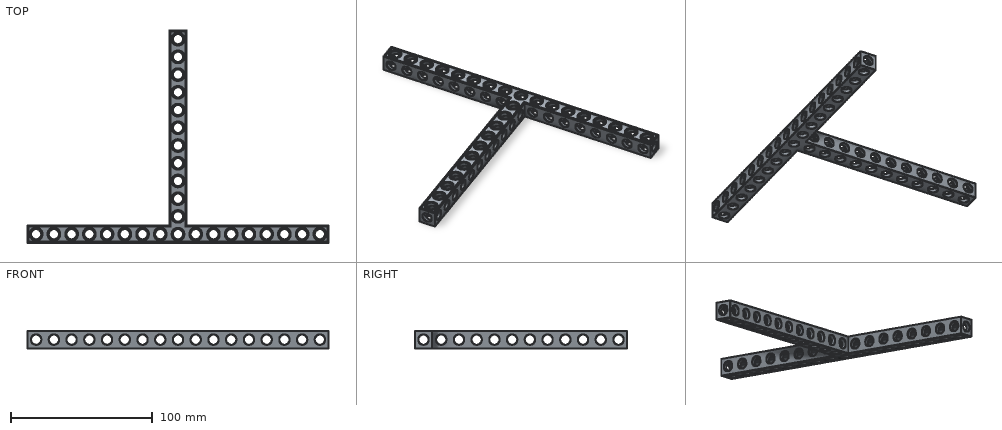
import cadquery as cq

PITCH = 12.5
CROSS_HOLES = 17
STEM_HOLES = 11

HOLE_DIAMETER = 7.0
CHAMFER = 0.3

RECESS_DEPTH = 0.2
RIM_WIDTH = 1.1
RING_DIAMETER = HOLE_DIAMETER + 2 * RIM_WIDTH

half_width = PITCH / 2
half_cross = CROSS_HOLES * PITCH / 2
stem_end = half_width + STEM_HOLES * PITCH

cross_positions = [(i - (CROSS_HOLES - 1) / 2) * PITCH for i in range(CROSS_HOLES)]
stem_positions = [(i + 1) * PITCH for i in range(STEM_HOLES)]
vertical_centers = [(x, 0) for x in cross_positions] + [(0, y) for y in stem_positions]


def cross_bar(inset, bottom, height):
    """Block along X whose sides lie `inset` inside the cross bar."""
    length = 2 * (half_cross - inset)
    width = PITCH - 2 * inset
    return cq.Workplane("XY", origin=(0, 0, bottom)).rect(length, width).extrude(height)


def stem_bar(inset, bottom, height):
    """Block along Y, from the middle of the cross bar to `inset` inside the end of the stem."""
    length = stem_end - inset
    width = PITCH - 2 * inset
    return cq.Workplane("XY", origin=(0, length / 2, bottom)).rect(width, length).extrude(height)


def beam_body():
    """Both bars with chamfered outer edges; the inner corners between them stay sharp."""
    cross = cross_bar(0, -half_width, PITCH).edges().chamfer(CHAMFER)
    stem = stem_bar(0, -half_width, PITCH).edges().chamfer(CHAMFER)
    return cross.union(stem).clean()


def through_hole(start, direction, length):
    """Cutter for a round hole of the given length with a chamfer at both mouths."""
    radius = HOLE_DIAMETER / 2
    mouth_radius = radius + CHAMFER
    profile = [
        (0, 0),
        (mouth_radius, 0),
        (radius, CHAMFER),
        (radius, length - CHAMFER),
        (mouth_radius, length),
        (0, length),
    ]
    sideways = cq.Vector(direction[1], direction[2], direction[0])
    plane = cq.Plane(origin=start, xDir=sideways, normal=sideways.cross(cq.Vector(*direction)))
    return cq.Workplane(plane).polyline(profile).close().revolve(360, (0, 0), (0, 1)).val()


def drill(body, cutters):
    """Cut a row of parallel holes."""
    return body.cut(cq.Workplane(cq.Compound.makeCompound(cutters)))


def drill_along_z(body):
    cutters = [through_hole((x, y, -half_width), (0, 0, 1), PITCH) for x, y in vertical_centers]
    return drill(body, cutters)


def drill_along_y(body):
    """Holes across the cross bar; the middle one runs the whole length of the stem."""
    cutters = []
    for x in cross_positions:
        far_side = stem_end if x == 0 else half_width
        cutters.append(through_hole((x, -half_width, 0), (0, 1, 0), far_side + half_width))
    return drill(body, cutters)


def drill_along_x(body):
    """Holes across the stem, and one along the whole length of the cross bar."""
    cutters = []
    for y in [0] + stem_positions:
        reach = half_cross if y == 0 else half_width
        cutters.append(through_hole((-reach, y, 0), (1, 0, 0), 2 * reach))
    return drill(body, cutters)


def top_recess():
    """Shallow pocket between the rim and the hole rings."""
    floor = half_width - RECESS_DEPTH
    rings = (
        cq.Workplane("XY", origin=(0, 0, floor))
        .pushPoints(vertical_centers)
        .circle(RING_DIAMETER / 2)
        .extrude(RECESS_DEPTH)
    )
    cross = cross_bar(RIM_WIDTH, floor, RECESS_DEPTH)
    stem = stem_bar(RIM_WIDTH, floor, RECESS_DEPTH)
    return cross.union(stem).cut(rings)


beam = beam_body()
beam = drill_along_z(beam)
beam = drill_along_y(beam)
beam = drill_along_x(beam)
result = beam.cut(top_recess())